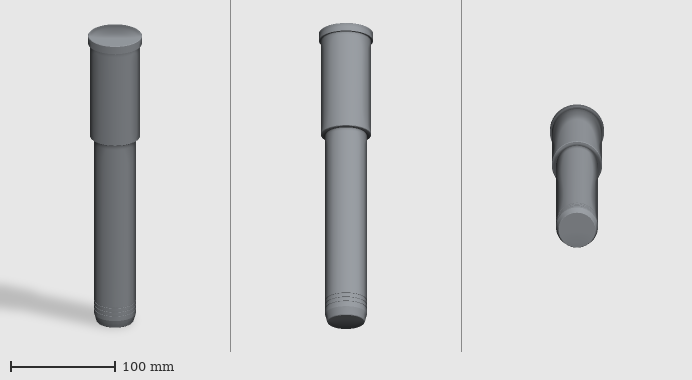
import cadquery as cq

length = 300.0

flange_diameter = 52.0
flange_height = 8.0

collar_diameter = 48.3
collar_bottom = 194.0

shaft_diameter = 40.2

tip_diameter = 36.0
tip_height = 8.0

edge_bevel = 0.5

groove_width = 1.0
groove_depth = 0.5
tip_groove_count = 3
tip_groove_pitch = 4.2
lowest_groove_bottom = 13.0


def cylinder(diameter, bottom, top):
    """Upright cylinder on the Z axis."""
    return cq.Workplane("XY").workplane(offset=bottom).circle(diameter / 2).extrude(top - bottom)


def tapered_tip():
    """Cone that widens from the bevelled lower end up to the shaft."""
    profile = [
        (0, 0),
        (tip_diameter / 2 - edge_bevel, 0),
        (tip_diameter / 2, edge_bevel),
        (shaft_diameter / 2, tip_height),
        (0, tip_height),
    ]
    return cq.Workplane("XZ").polyline(profile).close().revolve(360, (0, 0), (0, 1))


def ring_groove(diameter, bottom):
    """Ring of material to remove from a cylinder of the given diameter."""
    top = bottom + groove_width
    core = cylinder(diameter - 2 * groove_depth, bottom, top)
    return cylinder(diameter, bottom, top).cut(core)


flange_bottom = length - flange_height

result = tapered_tip()
result = result.union(cylinder(shaft_diameter, tip_height, collar_bottom))
collar = cylinder(collar_diameter, collar_bottom, flange_bottom)
result = result.union(collar.faces("<Z").chamfer(edge_bevel))
flange = cylinder(flange_diameter, flange_bottom, length)
result = result.union(flange.faces(">Z").chamfer(edge_bevel))

result = result.cut(ring_groove(shaft_diameter, collar_bottom - groove_width))
result = result.cut(ring_groove(collar_diameter, flange_bottom - groove_width))

for index in range(tip_groove_count):
    groove_bottom = lowest_groove_bottom + index * tip_groove_pitch
    result = result.cut(ring_groove(shaft_diameter, groove_bottom))